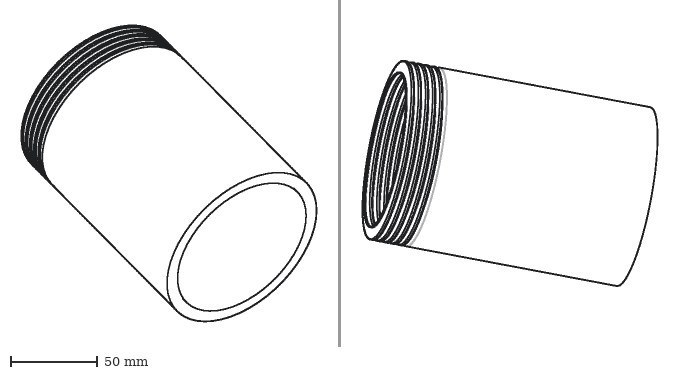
import cadquery as cq

length = 150.0
outer_diameter = 106.0
bore_diameter = 91.0

sheet_thickness = 0.45
pitch = 4.3
full_fold_count = 5
wall_lean = 0.4
bend_radius = sheet_thickness / 2

crest_radius = outer_diameter / 2 - sheet_thickness / 2
root_radius = bore_diameter / 2 + sheet_thickness / 2
half_flat = (pitch / 2 - wall_lean) / 2
last_root_x = full_fold_count * pitch


def rising_wall(root_x):
    """The (axial, radial) ends of the fold wall that leads from a root up to the next crest."""
    crest_x = root_x + pitch / 2
    return [(root_x + half_flat, root_radius), (crest_x - half_flat, crest_radius)]


def falling_wall(root_x):
    """The (axial, radial) ends of the fold wall that leads from a crest down to a root."""
    crest_x = root_x - pitch / 2
    return [(crest_x + half_flat, crest_radius), (root_x - half_flat, root_radius)]


def sheet_centreline():
    """Middle of the sheet, run on past both ends of the part."""
    points = [(-sheet_thickness, root_radius)]
    for fold in range(full_fold_count):
        root_x = fold * pitch
        points += rising_wall(root_x)
        points += falling_wall(root_x + pitch)
    points += rising_wall(last_root_x)
    points.append((length + sheet_thickness, crest_radius))
    corners = [cq.Vector(axial, radial, 0) for axial, radial in points]
    return cq.Wire.makePolygon(corners).fillet(bend_radius)


def revolve_about_x(section):
    """Full turn of an (axial, radial) section about the axis of the tube."""
    return section.revolve(360, (0, 0, 0), (1, 0, 0))


def folded_sheet():
    """The bellows and the outer skin of the tube, trimmed flat at both ends."""
    centreline = cq.Workplane("XY").add(sheet_centreline()).toPending()
    section = centreline.offset2D(sheet_thickness / 2, "arc")
    trim_envelope = cq.Workplane("YZ").circle(outer_diameter).extrude(length)
    return revolve_about_x(section).intersect(trim_envelope)


def tube_core():
    """Fills the tube from the last fold wall down to the bore."""
    bore_radius = bore_diameter / 2
    outline = [(last_root_x, bore_radius), (last_root_x, root_radius)]
    outline += rising_wall(last_root_x)
    outline += [(length, crest_radius), (length, bore_radius)]
    return revolve_about_x(cq.Workplane("XY").polyline(outline).close())


result = folded_sheet().union(tube_core()).clean().solids()